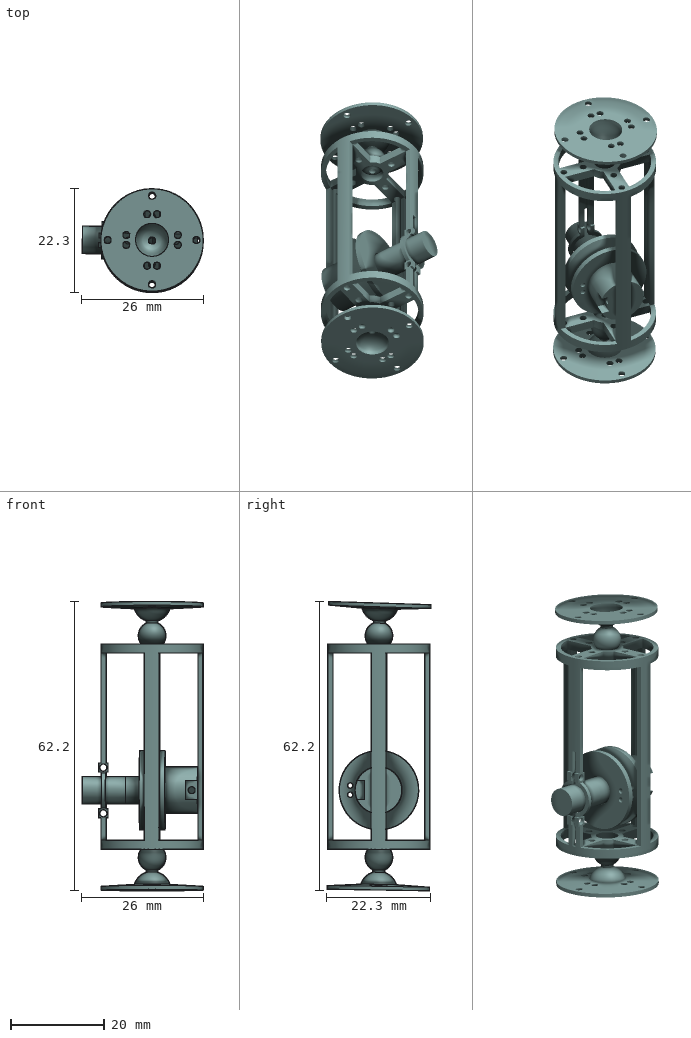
import cadquery as cq
import math

RADIUS = 11.0
HOLE_DIA = 1.5
WIRE_RADIUS = 9.5
QUARTER_TURNS = (0, 90, 180, 270)
FRAME_TURN = -0.6
DRIVE_TURN = -0.9

FRAME_HEIGHT = 44.0
RING_HEIGHT = 2.0
RIM_INNER_RADIUS = 9.9
LEG_WIDTH = 3.15
HUB_RADIUS = 3.5
SEAT_RADIUS = 2.4
SPOKE_HOLE_RADIUS = 5.0

DRIVE_HEIGHT = 12.65
CLAMP_OUTER_RADIUS = 4.05
CLAMP_HEIGHT = 12.6
CLAMP_OUTER_X = -10.8
CLAMP_INNER_X = -10.0
SLOT_WIDTH = 0.9
SLOT_LENGTH = 21.1
LUG_SIZE = 2.0
LUG_X = -10.4
LUG_OFFSET = 4.9

MOTOR_RADIUS = 3.0
BORE_RADIUS = 3.1
MOTOR_END_X = -14.95
GEARBOX_START_X = -5.65

SPOOL_START_X = -2.65
SPOOL_END_X = 9.75
FLANGE_RADIUS = 8.5
FLANGE_RIM = 1.1
DRUM_WIDTH = 5.45
SPOOL_HUB_RADIUS = 5.0
CORD_HOLE_OFFSET = 6.15
CORD_HOLE_SPACING = 2.0
CORD_HOLE_DIA = 1.1
POCKET_LENGTH = 2.5
POCKET_HEIGHT = 4.05
POCKET_FLOOR = 3.0

PLATE_RIM_THICKNESS = 0.8
PLATE_ROOT_THICKNESS = 1.25
BALL_RADIUS = 3.0
CUP_OUTER_RADIUS = 4.05
CUP_INNER_RADIUS = 3.55
NECK_RADIUS = 1.3
PAIR_RADIUS = 5.5
PAIR_SPACING = 2.1
TOP_TILT = -1.8
BOTTOM_TILT = -0.9

BALL_OFFSET = math.sqrt(BALL_RADIUS**2 - SEAT_RADIUS**2)
PLATE_FACE = BALL_RADIUS + CUP_OUTER_RADIUS


def cylinder_z(radius, bottom, top, x=0, y=0):
    return cq.Workplane("XY", origin=(x, y, bottom)).circle(radius).extrude(top - bottom)


def cylinder_x(radius, start, end, y=0, z=0):
    return cq.Workplane("YZ", origin=(start, y, z)).circle(radius).extrude(end - start)


def box_between(x, y, z):
    size = (x[1] - x[0], y[1] - y[0], z[1] - z[0])
    return cq.Workplane("XY").box(*size, centered=False).translate((x[0], y[0], z[0]))


def turned(shape, angle):
    return shape.rotate((0, 0, 0), (0, 0, 1), angle)


def make_cross(bottom, top):
    """Two crossing strips, one along X and one along Y, as wide as the legs and spokes."""
    half = LEG_WIDTH / 2
    strip = box_between((-RADIUS, RADIUS), (-half, half), (bottom, top))
    return strip.union(turned(strip, 90))


def make_ring(bottom):
    """Rim, hub and four spokes, with the ball seat and the spoke holes."""
    top = bottom + RING_HEIGHT
    ring = cylinder_z(RADIUS, bottom, top).cut(cylinder_z(RIM_INNER_RADIUS, bottom, top))
    ring = ring.union(cylinder_z(HUB_RADIUS, bottom, top))
    ring = ring.union(make_cross(bottom, top).intersect(cylinder_z(RADIUS, bottom, top)))
    ring = ring.cut(cylinder_z(SEAT_RADIUS, bottom, top))
    for angle in QUARTER_TURNS:
        hole = cylinder_z(HOLE_DIA / 2, bottom, top, x=SPOKE_HOLE_RADIUS)
        ring = ring.cut(turned(hole, angle))
    return ring


def make_legs():
    """Four strips of the rim's cylindrical wall, from the bottom ring to the top one."""
    tube = cylinder_z(RADIUS, 0, FRAME_HEIGHT).cut(cylinder_z(RIM_INNER_RADIUS, 0, FRAME_HEIGHT))
    return tube.intersect(make_cross(0, FRAME_HEIGHT))


def add_clamp(frame):
    """Split ring with two pairs of screw lugs that holds the motor."""
    half_width = LEG_WIDTH / 2
    half_lug = LUG_SIZE / 2
    lug_x = (LUG_X - half_lug, LUG_X + half_lug)
    ring = cylinder_x(CLAMP_OUTER_RADIUS, CLAMP_OUTER_X, CLAMP_INNER_X, z=CLAMP_HEIGHT)
    frame = frame.union(ring)
    for z in (CLAMP_HEIGHT - LUG_OFFSET, CLAMP_HEIGHT + LUG_OFFSET):
        lug = box_between(lug_x, (-half_width, half_width), (z - half_lug, z + half_lug))
        screw = cq.Workplane("XZ", origin=(LUG_X, half_width, z)).circle(HOLE_DIA / 2).extrude(LEG_WIDTH)
        frame = frame.union(lug).cut(screw)
    slot_y = (-SLOT_WIDTH / 2, SLOT_WIDTH / 2)
    frame = frame.cut(box_between(lug_x, slot_y, (RING_HEIGHT, RING_HEIGHT + SLOT_LENGTH)))
    return frame.cut(cylinder_x(BORE_RADIUS, MOTOR_END_X, GEARBOX_START_X, z=CLAMP_HEIGHT))


def make_frame():
    """Two rings joined by four legs, with the motor clamp and the wire holes along the legs."""
    frame = make_legs().union(make_ring(0)).union(make_ring(FRAME_HEIGHT - RING_HEIGHT))
    frame = add_clamp(frame)
    for angle in QUARTER_TURNS:
        frame = frame.cut(turned(cylinder_z(HOLE_DIA / 2, 0, FRAME_HEIGHT, x=WIRE_RADIUS), angle))
    return turned(frame, FRAME_TURN)


def make_motor():
    motor = cylinder_x(MOTOR_RADIUS, MOTOR_END_X, GEARBOX_START_X, z=DRIVE_HEIGHT)
    return turned(motor, DRIVE_TURN)


def make_gearbox():
    gearbox = cylinder_x(MOTOR_RADIUS, GEARBOX_START_X, SPOOL_START_X + DRUM_WIDTH, z=DRIVE_HEIGHT)
    return turned(gearbox, DRIVE_TURN)


def make_spool():
    """Grooved drum and hub, with a bore for the gearbox, cord holes and a pocket for a set screw."""
    drum_end = SPOOL_START_X + DRUM_WIDTH
    profile = [
        (SPOOL_START_X, 0),
        (SPOOL_START_X, FLANGE_RADIUS),
        (SPOOL_START_X + FLANGE_RIM, FLANGE_RADIUS),
        (SPOOL_START_X + DRUM_WIDTH / 2, SPOOL_HUB_RADIUS),
        (drum_end - FLANGE_RIM, FLANGE_RADIUS),
        (drum_end, FLANGE_RADIUS),
        (drum_end, SPOOL_HUB_RADIUS),
        (SPOOL_END_X, SPOOL_HUB_RADIUS),
        (SPOOL_END_X, 0),
    ]
    spool = cq.Workplane("XZ").polyline(profile).close().revolve(360, (0, 0, 0), (1, 0, 0))
    spool = spool.cut(cylinder_x(BORE_RADIUS, SPOOL_START_X, drum_end))
    for z in (-CORD_HOLE_SPACING / 2, CORD_HOLE_SPACING / 2):
        cord_hole = cylinder_x(CORD_HOLE_DIA / 2, SPOOL_START_X, drum_end, y=-CORD_HOLE_OFFSET, z=z)
        spool = spool.cut(cord_hole)
    pocket_x = (SPOOL_END_X - POCKET_LENGTH, SPOOL_END_X)
    pocket_z = (-POCKET_HEIGHT / 2, POCKET_HEIGHT / 2)
    spool = spool.cut(box_between(pocket_x, (-SPOOL_HUB_RADIUS, -POCKET_FLOOR), pocket_z))
    screw_x = SPOOL_END_X - POCKET_LENGTH / 2
    screw = cq.Workplane("XZ", origin=(screw_x, 0, 0)).circle(HOLE_DIA / 2).extrude(POCKET_FLOOR)
    return turned(spool.cut(screw).translate((0, 0, DRIVE_HEIGHT)), DRIVE_TURN)


def make_plate_disc():
    """Disc with a flat outer face and an inner face that thickens towards the cup."""
    root_radius = math.sqrt(CUP_OUTER_RADIUS**2 - PLATE_ROOT_THICKNESS**2)
    profile = [
        (0, PLATE_FACE),
        (RADIUS, PLATE_FACE),
        (RADIUS, PLATE_FACE - PLATE_RIM_THICKNESS),
        (root_radius, PLATE_FACE - PLATE_ROOT_THICKNESS),
        (0, PLATE_FACE - PLATE_ROOT_THICKNESS),
    ]
    return cq.Workplane("XZ").polyline(profile).close().revolve(360, (0, 0, 0), (0, 1, 0))


def sphere(radius, z=0):
    return cq.Workplane("XY").sphere(radius).translate((0, 0, z))


def make_end_plate():
    """Disc, cup, neck and ball on the Z axis, with the ball centre at the origin."""
    cup = sphere(CUP_OUTER_RADIUS, PLATE_FACE).intersect(cylinder_z(CUP_OUTER_RADIUS, 0, PLATE_FACE))
    neck = cylinder_z(NECK_RADIUS, 0, PLATE_FACE - CUP_INNER_RADIUS)
    plate = make_plate_disc().union(cup).union(neck)
    plate = plate.cut(sphere(CUP_INNER_RADIUS, PLATE_FACE)).union(sphere(BALL_RADIUS))
    plate = plate.cut(cylinder_z(HOLE_DIA / 2, -BALL_RADIUS, PLATE_FACE))
    hole_spots = [(WIRE_RADIUS, 0), (PAIR_RADIUS, -PAIR_SPACING / 2), (PAIR_RADIUS, PAIR_SPACING / 2)]
    for angle in QUARTER_TURNS:
        for x, y in hole_spots:
            hole = cylinder_z(HOLE_DIA / 2, PLATE_FACE - PLATE_ROOT_THICKNESS, PLATE_FACE, x, y)
            plate = plate.cut(turned(hole, angle))
    return plate


def tilted(plate, angle):
    return plate.rotate((0, 0, 0), (1, 0, 0), angle)


end_plate = make_end_plate()
top_plate = tilted(end_plate, TOP_TILT).translate((0, 0, FRAME_HEIGHT + BALL_OFFSET))
bottom_plate = tilted(end_plate, 180 + BOTTOM_TILT).translate((0, 0, -BALL_OFFSET))
frame = make_frame()
motor = make_motor()
gearbox = make_gearbox()
spool = make_spool()

result = cq.Compound.makeCompound(
    [frame.val(), motor.val(), gearbox.val(), spool.val(), top_plate.val(), bottom_plate.val()]
)